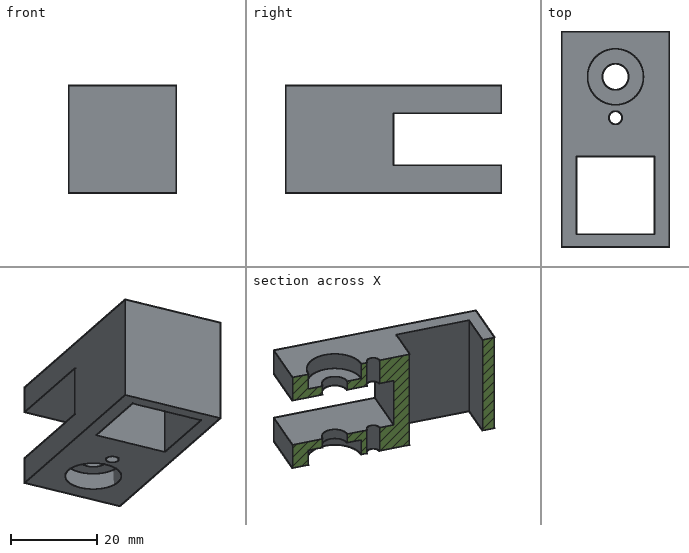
import cadquery as cq

WIDTH = 25.0
LENGTH = 50.0
HEIGHT = 25.0
TOP_Z = HEIGHT / 2
BOTTOM_Z = -HEIGHT / 2

SLOT_HEIGHT = 12.0
SLOT_DEPTH = LENGTH / 2

SOCKET_SIDE = 18.0
SOCKET_FRONT_WALL = 3.0

BOLT_DIAMETER = 6.0
BOLT_Y = 14.5
COUNTERBORE_DIAMETER = 13.0
COUNTERBORE_DEPTH = 4.0

PIN_DIAMETER = 3.0
PIN_Y = 5.0


def make_block():
    return cq.Workplane("XY").box(WIDTH, LENGTH, HEIGHT)


def make_slot():
    slot_y = (LENGTH - SLOT_DEPTH) / 2
    return cq.Workplane("XY").box(WIDTH, SLOT_DEPTH, SLOT_HEIGHT).translate((0, slot_y, 0))


def make_socket():
    socket_y = -LENGTH / 2 + SOCKET_FRONT_WALL + SOCKET_SIDE / 2
    return cq.Workplane("XY").box(SOCKET_SIDE, SOCKET_SIDE, HEIGHT).translate((0, socket_y, 0))


def make_bore(diameter, y, base_z, height):
    """Vertical cylinder on the centre plane, rising from base_z."""
    return cq.Workplane("XY", origin=(0, y, base_z)).circle(diameter / 2).extrude(height)


def make_bolt_hole():
    hole = make_bore(BOLT_DIAMETER, BOLT_Y, BOTTOM_Z, HEIGHT)
    for base_z in (BOTTOM_Z, TOP_Z - COUNTERBORE_DEPTH):
        hole = hole.union(make_bore(COUNTERBORE_DIAMETER, BOLT_Y, base_z, COUNTERBORE_DEPTH))
    return hole


def make_pin_hole():
    return make_bore(PIN_DIAMETER, PIN_Y, BOTTOM_Z, HEIGHT)


result = (
    make_block()
    .cut(make_slot())
    .cut(make_socket())
    .cut(make_bolt_hole())
    .cut(make_pin_hole())
)